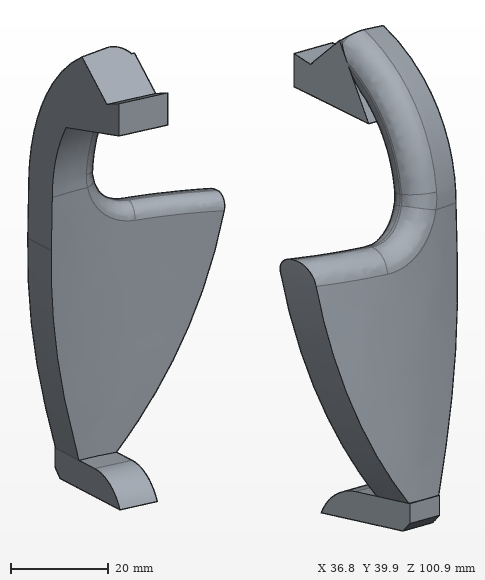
import cadquery as cq
import math

height = 100.9
length = 36.8
width = 39.9

thickness = 8.8
bow_radius = 66.6
bow_center_y = 12.1
base_x = 0.1
arm_start_x = 1.9
arm_start_z = 66.2
plate_top_z = 60.1

near_bulge = (2.4, 29.3)
near_edge_top_z = 54.5
near_start_slope = (-0.3, 1.0)
far_bulge = [(36.4, 42.9), (31.1, 27.7)]

arm_width = 12.0
bend_radius = 40.2
bend_angle = 66.0
corner_radius = 9.4
outer_rim_radius = 4.9
inner_rim_radius = 3.2
rim_tolerance = 0.1

foot_height = 6.2
foot_length = 24.4
foot_flat_end = 14.9
foot_chamfer = 1.9
foot_near_y = 8.4
foot_far_y = 17.6

tip_x = 22.3
notch_x, notch_z = 32.3, 92.8
tip_slope = (notch_z - height) / (notch_x - tip_x)
toe_top_z = 94.4
toe_bottom_z = 87.3
throat_x, throat_z = 16.2, 83.0
seat_inset = 2.0

margin = 5.0
clear_size = 4 * height


def bowed_section(x, z):
    """Horizontal cross-section of the bowed plate, with its outer face apex at x."""
    near_y = -margin
    far_y = width + margin
    outer_radius = bow_radius + thickness
    center_x = x + outer_radius

    def arc_point(radius, y):
        return center_x - math.sqrt(radius**2 - (y - bow_center_y) ** 2), y

    return (
        cq.Workplane("XY", origin=(0, 0, z))
        .moveTo(*arc_point(outer_radius, near_y))
        .threePointArc((x, bow_center_y), arc_point(outer_radius, far_y))
        .lineTo(*arc_point(bow_radius, far_y))
        .threePointArc((x + thickness, bow_center_y), arc_point(bow_radius, near_y))
        .close()
    )


def sheet():
    """Leaning plate continued by the bent arm, before its outline is cut."""
    lean = (arm_start_x - base_x) / (arm_start_z - foot_height)
    bottom_x = base_x - lean * foot_height
    lower_wire = bowed_section(bottom_x, 0).wires().val()
    upper_wire = bowed_section(arm_start_x, arm_start_z).wires().val()
    plate = cq.Workplane(obj=cq.Solid.makeLoft([lower_wire, upper_wire], True))
    arm = bowed_section(arm_start_x, arm_start_z).revolve(
        bend_angle,
        (arm_start_x + bend_radius, 0, 0),
        (arm_start_x + bend_radius, 1, 0),
    )
    return plate.union(arm)


def outline():
    """Outline of the plate and arm in Y and Z, extruded through X."""
    diagonal = corner_radius * math.sqrt(0.5)
    arc_center_y = arm_width + corner_radius
    arc_center_z = plate_top_z + corner_radius
    return (
        cq.Workplane("YZ", origin=(-margin, 0, 0))
        .moveTo(foot_near_y, 0)
        .lineTo(foot_near_y, foot_height)
        .spline([near_bulge, (0, near_edge_top_z)], tangents=[near_start_slope, (0, 1)], includeCurrent=True)
        .lineTo(0, height + margin)
        .lineTo(arm_width, height + margin)
        .lineTo(arm_width, arc_center_z)
        .threePointArc(
            (arc_center_y - diagonal, arc_center_z - diagonal),
            (arc_center_y, plate_top_z),
        )
        .lineTo(width, plate_top_z)
        .spline([*far_bulge, (foot_far_y, foot_height)], includeCurrent=True)
        .lineTo(foot_far_y, 0)
        .close()
        .extrude(length + 2 * margin)
    )


def rim_edges(body, inner):
    """Edges running along the arm and plate top, on the inner or the outer face."""
    rim_box = cq.selectors.BoxSelector(
        (-margin, arm_width - rim_tolerance, plate_top_z - rim_tolerance),
        (length, width - rim_tolerance, height + margin),
    )
    split_radius = bow_radius + thickness / 2
    bend_center_x = arm_start_x + bend_radius
    bow_axis_x = arm_start_x + bow_radius + thickness

    def is_inner(edge):
        point = edge.positionAt(0.5)
        rise = max(point.z - arm_start_z, 0)
        straight_x = bend_center_x - math.hypot(bend_center_x - point.x, rise)
        return math.hypot(bow_axis_x - straight_x, point.y - bow_center_y) < split_radius

    along_rim = body.edges(rim_box).edges("not |X")
    return along_rim.filter(lambda edge: is_inner(edge) == inner)


def rounded_body():
    """Sheet cut to outline, with both rims of the arm and plate top rounded."""
    body = sheet().intersect(outline())
    body = rim_edges(body, inner=False).fillet(outer_rim_radius)
    return rim_edges(body, inner=True).fillet(inner_rim_radius)


def tip_trim():
    """Everything above the sloping face between the hook tip and the notch."""
    left_z = height - tip_slope * (tip_x + margin)
    right_x = length + margin
    right_z = height + tip_slope * (right_x - tip_x)
    return (
        cq.Workplane("XZ", origin=(0, -margin, 0))
        .polyline([(-margin, left_z), (right_x, right_z), (right_x, left_z)])
        .close()
        .extrude(-(width + 2 * margin))
    )


def hook_head():
    return (
        cq.Workplane("XZ")
        .polyline([
            (tip_x + seat_inset, height + tip_slope * seat_inset),
            (notch_x, notch_z),
            (length, toe_top_z),
            (length, toe_bottom_z),
            (throat_x, throat_z),
        ])
        .close()
        .extrude(-arm_width)
    )


def foot():
    nose = foot_length - foot_flat_end
    nose_radius = (nose**2 + foot_height**2) / (2 * foot_height)
    half_angle = math.asin(nose / nose_radius) / 2
    nose_mid = (
        foot_flat_end + nose_radius * math.sin(half_angle),
        foot_height - nose_radius * (1 - math.cos(half_angle)),
    )
    return (
        cq.Workplane("XZ", origin=(0, foot_near_y, 0))
        .moveTo(foot_chamfer, 0)
        .lineTo(0, foot_chamfer)
        .lineTo(0, foot_height)
        .lineTo(foot_flat_end, foot_height)
        .threePointArc(nose_mid, (foot_length, 0))
        .close()
        .extrude(-(foot_far_y - foot_near_y))
    )


def above_foot():
    return cq.Workplane("XY", origin=(0, 0, foot_height)).rect(clear_size, clear_size).extrude(clear_size)


plate_and_arm = rounded_body().intersect(above_foot()).cut(tip_trim())
result = plate_and_arm.union(hook_head()).union(foot())